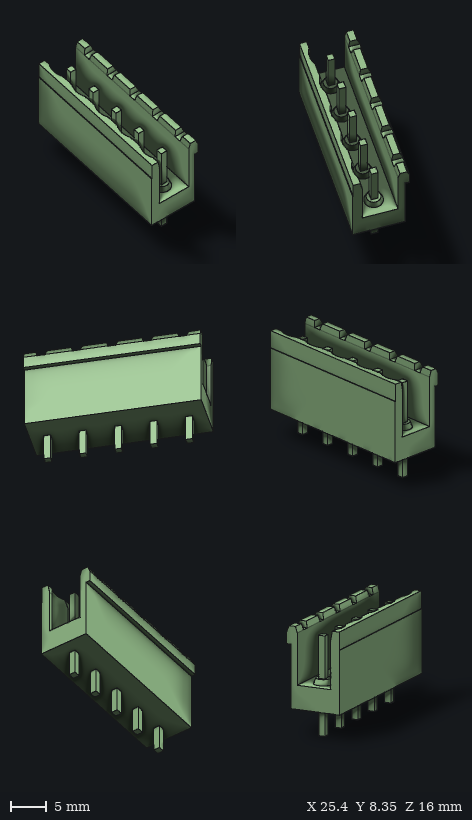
import cadquery as cq


pin_count = 5
pitch = 5.08
length = pin_count * pitch
pin_width = 1.0
pin_y = 3.85
pin_top = 10.57
tail_length = 4.0

housing_top = 12.01
back_y = 7.72
slot_front_y = 1.45
slot_back_y = 6.65
floor_z = 3.53

step_depth = 0.08
step_z = 9.4
lip_y = 1.17
lip_z = 10.52
scallop_radius = 3.07

latch_y = 8.35
latch_bottom = 9.32
latch_shoulder = 11.1
latch_crest_front_y = 6.93
latch_crest_back_y = 7.98
notch_bottom_width = 1.07
notch_top_width = 1.55

collar_base_radius = 1.37
collar_top_radius = 1.05
collar_top = 4.35

pin_positions = [(index - (pin_count - 1) / 2) * pitch for index in range(pin_count)]


def make_housing():
    """U-shaped section with the latch rail, extruded along the pin row."""
    section = [
        (0, 0),
        (back_y, 0),
        (back_y, latch_bottom),
        (latch_y, latch_bottom),
        (latch_y, latch_shoulder),
        (latch_crest_back_y, housing_top),
        (latch_crest_front_y, housing_top),
        (slot_back_y, latch_shoulder),
        (slot_back_y, floor_z),
        (slot_front_y, floor_z),
        (slot_front_y, lip_z),
        (lip_y, housing_top),
        (step_depth, housing_top),
        (step_depth, step_z),
        (0, step_z),
    ]
    return cq.Workplane("YZ").polyline(section).close().extrude(length / 2, both=True)


def make_scallop(x):
    """Cylindrical clearance around a pin, kept to the front wall side."""
    height = housing_top - floor_z
    cylinder = cq.Workplane("XY", origin=(x, pin_y, floor_z)).circle(scallop_radius).extrude(height)
    front_half = cq.Workplane("XY", origin=(x, 0, floor_z)).box(
        2 * scallop_radius, pin_y, height, centered=(True, False, False)
    )
    return cylinder.intersect(front_half)


def make_latch_notch(x):
    """Flared notch across the latch rail, down to its shoulder."""
    section = [
        (x - notch_bottom_width / 2, latch_shoulder),
        (x + notch_bottom_width / 2, latch_shoulder),
        (x + notch_top_width / 2, housing_top),
        (x - notch_top_width / 2, housing_top),
    ]
    rail = cq.Workplane("XZ", origin=(0, slot_back_y, 0)).polyline(section).close()
    return rail.extrude(slot_back_y - latch_y)


def make_collar(x):
    """Truncated cone rising from the slot floor."""
    half_section = [
        (0, floor_z),
        (collar_base_radius, floor_z),
        (collar_top_radius, collar_top),
        (0, collar_top),
    ]
    outline = cq.Workplane("XZ", origin=(x, pin_y, 0)).polyline(half_section).close()
    return outline.revolve(360, (0, 0), (0, 1))


def make_pin(x):
    """Square pin passing through the housing floor."""
    start = cq.Workplane("XY", origin=(x, pin_y, -tail_length))
    return start.rect(pin_width, pin_width).extrude(tail_length + pin_top)


result = make_housing()
for pin_x in pin_positions:
    result = result.cut(make_scallop(pin_x)).cut(make_latch_notch(pin_x))
    result = result.union(make_collar(pin_x)).union(make_pin(pin_x))